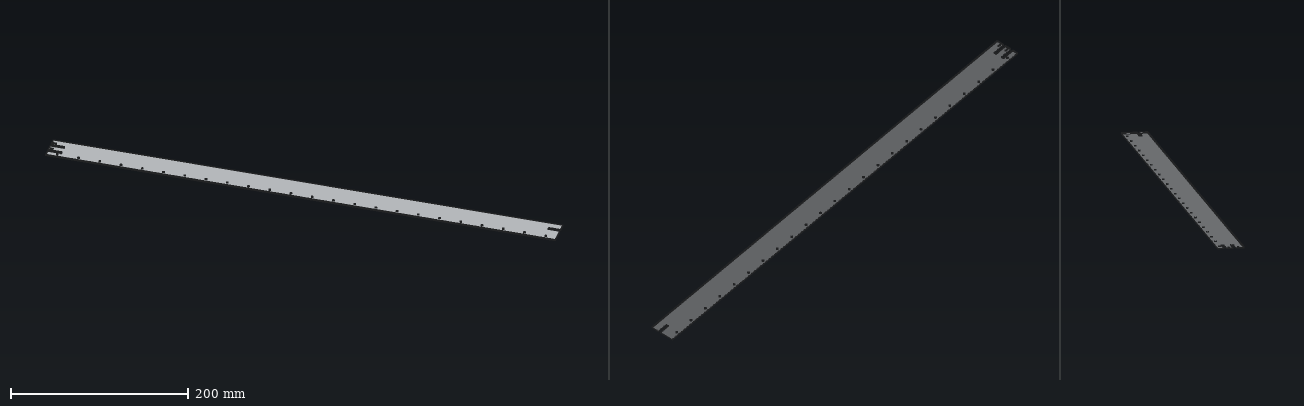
import cadquery as cq

length = 600.0
width = 30.0
thickness = 1.6

hole_count = 24
hole_pitch = length / hole_count
hole_diameter = 2.0
hole_edge_distance = 4.0

left_notch_depth = 16.0
right_notch_depth = 14.0
notch_width = 3.0
upper_notch_y = 4.0
lower_notch_y = -6.5

small_hole_diameter = 1.4
small_hole_pitch = 2.5
small_holes_per_row = 2
small_hole_end_distance = 2.5
small_hole_first_x = -length / 2 + small_hole_end_distance
small_hole_rows_y = (9.0, -2.0)


def end_notch(side, y, depth):
    """Rectangular notch open at the left (side -1) or right (side 1) end."""
    x = side * (length - depth) / 2
    return cq.Workplane("XY").center(x, y).box(depth, notch_width, thickness)


def drill(body, points, diameter):
    """Cut round through holes at the given points."""
    return body.faces(">Z").workplane(origin=(0, 0, 0)).pushPoints(points).hole(diameter)


strip = cq.Workplane("XY").box(length, width, thickness)

strip = strip.cut(end_notch(-1, upper_notch_y, left_notch_depth))
strip = strip.cut(end_notch(-1, lower_notch_y, left_notch_depth))
strip = strip.cut(end_notch(1, upper_notch_y, right_notch_depth))

row_y = -width / 2 + hole_edge_distance
row_points = [((i - (hole_count - 1) / 2) * hole_pitch, row_y) for i in range(hole_count)]
strip = drill(strip, row_points, hole_diameter)

small_points = [
    (small_hole_first_x + i * small_hole_pitch, y)
    for y in small_hole_rows_y
    for i in range(small_holes_per_row)
]
result = drill(strip, small_points, small_hole_diameter)